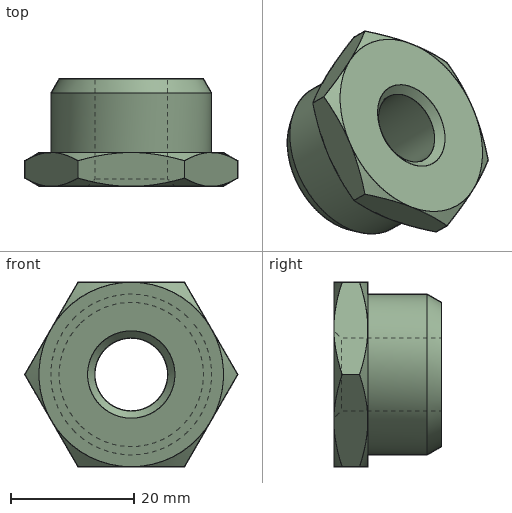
import cadquery as cq
import math

across_flats = 30.0
head_thickness = 5.5
head_chamfer_angle = math.radians(30.0)

overall_length = 17.5
shank_diameter = 26.15
tip_diameter = 23.45
tip_chamfer_angle = math.radians(30.0)

bore_diameter = 11.8
countersink_diameter = 14.2
countersink_angle = math.radians(45.0)

flat_radius = across_flats / 2
corner_radius = flat_radius / math.cos(math.pi / 6)
head_chamfer_depth = (corner_radius - flat_radius) * math.tan(head_chamfer_angle)
shank_radius = shank_diameter / 2
tip_radius = tip_diameter / 2
tip_chamfer_length = (shank_radius - tip_radius) / math.tan(tip_chamfer_angle)
bore_radius = bore_diameter / 2
countersink_radius = countersink_diameter / 2
countersink_depth = (countersink_radius - bore_radius) / math.tan(countersink_angle)


def revolve_about_y(profile):
    """Revolve a closed (radius, y) profile about the Y axis."""
    return cq.Workplane("XY").polyline(profile).close().revolve(360, (0, 0, 0), (0, 1, 0))


def make_head():
    """Hexagon from Y = 0 to the head thickness, its corners chamfered on both faces."""
    hexagon = (
        cq.Workplane("XZ")
        .polygon(6, 2 * corner_radius)
        .extrude(-head_thickness)
    )
    chamfer_envelope = revolve_about_y([
        (0, 0),
        (flat_radius, 0),
        (corner_radius, head_chamfer_depth),
        (corner_radius, head_thickness - head_chamfer_depth),
        (flat_radius, head_thickness),
        (0, head_thickness),
    ])
    return hexagon.intersect(chamfer_envelope)


def make_shank():
    """Cylinder through the head to the far end, tapered at its tip."""
    return revolve_about_y([
        (0, 0),
        (shank_radius, 0),
        (shank_radius, overall_length - tip_chamfer_length),
        (tip_radius, overall_length),
        (0, overall_length),
    ])


def make_bore():
    """Through bore together with its countersink at the head face."""
    return revolve_about_y([
        (0, 0),
        (countersink_radius, 0),
        (bore_radius, countersink_depth),
        (bore_radius, overall_length),
        (0, overall_length),
    ])


result = make_head().union(make_shank()).cut(make_bore())